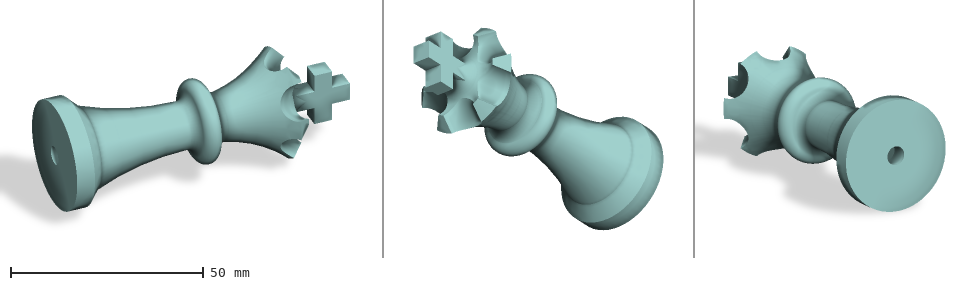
import cadquery as cq
import math

total_height = 82.5
base_radius = 15.0
bevel = 3.55
shoulder_radius = base_radius - bevel

base_rim_height = 5.0
shoulder_height = base_rim_height + bevel
base_hole_diameter = 5.0
base_hole_depth = 5.0

collar_height = 40.8
collar_round = 2.5
collar_round_center = shoulder_radius - collar_round
neck_radius = collar_round_center - collar_round
stem_top = collar_height - 2 * collar_round
crown_neck_radius = 6.7
crown_neck_height = 46.2
crown_cove_mid = (7.4, 44.2)
stem_length = stem_top - shoulder_height
stem_flare = shoulder_radius - neck_radius
stem_curve_radius = (stem_length**2 + stem_flare**2) / (2 * stem_flare)

crown_edge_height = 63.5
crown_tip_height = crown_edge_height + bevel
crown_flare_radius = 9.3
bowl_round = 5.0
notch_radius = 4.95
notch_count = 6
notch_length = 24.75

cross_bar = 5.0
cross_span = 3 * cross_bar
cross_arm_height = total_height - 1.5 * cross_bar
cross_foot_height = 61.9

core_radius = cross_bar / 2
bowl_center_radius = core_radius + bowl_round
bowl_center_height = crown_tip_height + math.sqrt(
    bowl_round**2 - (shoulder_radius - bowl_center_radius) ** 2
)
bowl_floor = (bowl_center_radius, bowl_center_height - bowl_round)


def make_body():
    """Turned body: base, flared stem, collar and crown with its ring-shaped bowl."""
    half = math.sqrt(0.5)
    stem_mid_height = (shoulder_height + stem_top) / 2
    stem_mid_radius = neck_radius + stem_curve_radius - math.sqrt(
        stem_curve_radius**2 - (stem_top - stem_mid_height) ** 2
    )
    cove_radius = collar_round_center - half * collar_round
    cove_offset = (2 - half) * collar_round
    profile = (
        cq.Workplane("XY")
        .lineTo(base_radius, 0)
        .lineTo(base_radius, base_rim_height)
        .lineTo(shoulder_radius, shoulder_height)
        .threePointArc((stem_mid_radius, stem_mid_height), (neck_radius, stem_top))
        .threePointArc(
            (cove_radius, collar_height - cove_offset),
            (collar_round_center, collar_height - collar_round),
        )
        .threePointArc(
            (shoulder_radius, collar_height),
            (collar_round_center, collar_height + collar_round),
        )
        .threePointArc(crown_cove_mid, (crown_neck_radius, crown_neck_height))
        .threePointArc(
            (crown_flare_radius, (crown_neck_height + crown_edge_height) / 2),
            (base_radius, crown_edge_height),
        )
        .lineTo(shoulder_radius, crown_tip_height)
        .threePointArc(bowl_floor, (core_radius, bowl_center_height))
        .lineTo(0, bowl_center_height)
        .close()
    )
    return profile.revolve(360, (0, 0, 0), (0, 1, 0))


def make_notch(angle):
    """Round cutter lying along the crown bevel, running outward from above the bowl."""
    start = cq.Vector(0, crown_tip_height, shoulder_radius)
    outward = cq.Vector(0, -1, 1)
    cutter = cq.Solid.makeCylinder(notch_radius, notch_length, start - outward * bevel, outward)
    return cutter.rotate(cq.Vector(0, 0, 0), cq.Vector(0, 1, 0), angle)


def make_cross():
    """Square-section cross with its arms along Z."""
    post_height = total_height - cross_foot_height
    post = cq.Workplane("XY").box(cross_bar, post_height, cross_bar)
    post = post.translate((0, cross_foot_height + post_height / 2, 0))
    arms = cq.Workplane("XY").box(cross_bar, cross_bar, cross_span)
    return post.union(arms.translate((0, cross_arm_height, 0)))


body = make_body()
for index in range(notch_count):
    body = body.cut(cq.Workplane(obj=make_notch(index * 360 / notch_count)))

base_hole = cq.Workplane("XZ").circle(base_hole_diameter / 2).extrude(-base_hole_depth)

result = body.cut(base_hole).union(make_cross())